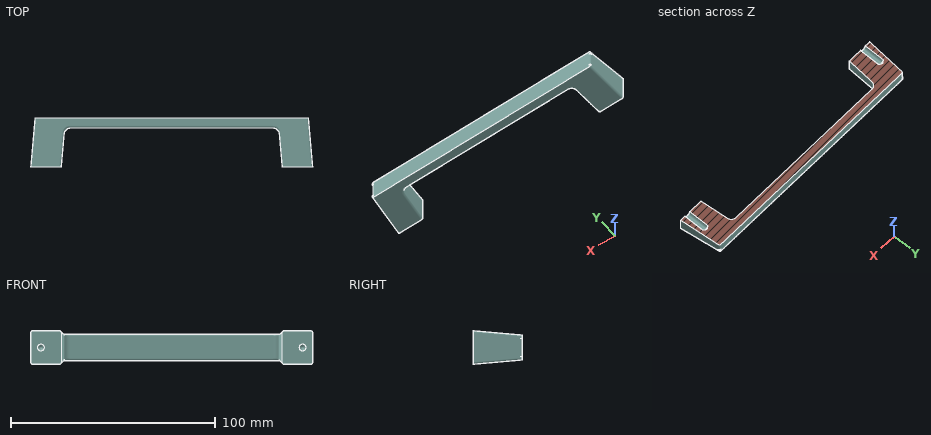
import cadquery as cq
import math

length = 138.0
depth = 24.0
height = 16.5
draft_angle = 5.0
foot_width = 15.0
bar_thickness = 5.0
inner_corner_radius = 3.0
edge_radius = 1.0
hole_spacing = 128.0
hole_diameter = 3.3
hole_depth = 12.0
drill_point_angle = 118.0
back_rounding_radius = 1.0
back_rounding_height = 8.8

foot_y = -depth / 2
back_y = depth / 2
draft_slope = math.tan(math.radians(draft_angle))
half_length = length / 2
half_opening = half_length - foot_width
bar_front_y = back_y - bar_thickness
hole_radius = hole_diameter / 2
drill_point_depth = hole_radius / math.tan(math.radians(drill_point_angle / 2))
back_half_length = half_length - draft_slope * depth
cut_margin = 5.0


def tapered_block():
    """Solid block whose four sides lean inward from the feet to the back."""
    profile = cq.Workplane("XZ", origin=(0, foot_y, 0)).rect(length, height)
    return profile.extrude(-depth, taper=draft_angle)


def grip_opening():
    """Space between the legs, widening toward the mouth, with rounded inner corners."""
    half_mouth = half_opening + draft_slope * cut_margin
    half_end = half_opening - draft_slope * (bar_front_y - foot_y)
    opening = (
        cq.Workplane("XY", origin=(0, 0, -height / 2))
        .moveTo(-half_mouth, foot_y - cut_margin)
        .lineTo(half_mouth, foot_y - cut_margin)
        .lineTo(half_end, bar_front_y)
        .lineTo(-half_end, bar_front_y)
        .close()
        .extrude(height)
    )
    return opening.edges("|Z and >Y").fillet(inner_corner_radius)


def is_side_face_rim(edge):
    """True for the edges of the top and bottom faces that run along a leg or the grip opening."""
    centre = edge.Center()
    within_depth = foot_y + edge_radius < centre.y < back_y - edge_radius
    is_upright = edge.BoundingBox().zlen > height / 2
    return within_depth and not is_upright


def round_long_edges(handle):
    """Round the outer leg edges and the rim of the opening on the top and bottom faces."""
    return handle.edges().filter(is_side_face_rim).fillet(edge_radius)


def back_corner_rounding():
    """Material removed to round the middle stretch of the two upright edges at the back corners."""
    turn = math.radians(90 - draft_angle)
    tangent_length = back_rounding_radius * math.tan(turn / 2)
    centre_x = back_half_length - tangent_length
    centre_y = back_y - back_rounding_radius
    middle_x = centre_x + back_rounding_radius * math.sin(turn / 2)
    middle_y = centre_y + back_rounding_radius * math.cos(turn / 2)
    side_x = centre_x + back_rounding_radius * math.sin(turn)
    side_y = centre_y + back_rounding_radius * math.cos(turn)

    corners = cq.Workplane("XY", origin=(0, 0, -back_rounding_height / 2))
    for side in (-1, 1):
        corners = (
            corners
            .moveTo(side * back_half_length, back_y)
            .lineTo(side * centre_x, back_y)
            .threePointArc((side * middle_x, middle_y), (side * side_x, side_y))
            .close()
        )
    return corners.extrude(back_rounding_height)


def screw_holes():
    """Blind fixing holes with a conical drill point, one in each foot."""
    holes = cq.Workplane("XY")
    for side in (-1, 1):
        hole = (
            cq.Workplane("XY", origin=(side * hole_spacing / 2, foot_y, 0))
            .lineTo(hole_radius, 0)
            .lineTo(hole_radius, hole_depth)
            .lineTo(0, hole_depth + drill_point_depth)
            .close()
            .revolve(360, (0, 0, 0), (0, 1, 0))
        )
        holes = holes.add(hole)
    return holes.combine()


handle = tapered_block().cut(grip_opening())
handle = round_long_edges(handle)
handle = handle.cut(back_corner_rounding())
result = handle.cut(screw_holes())